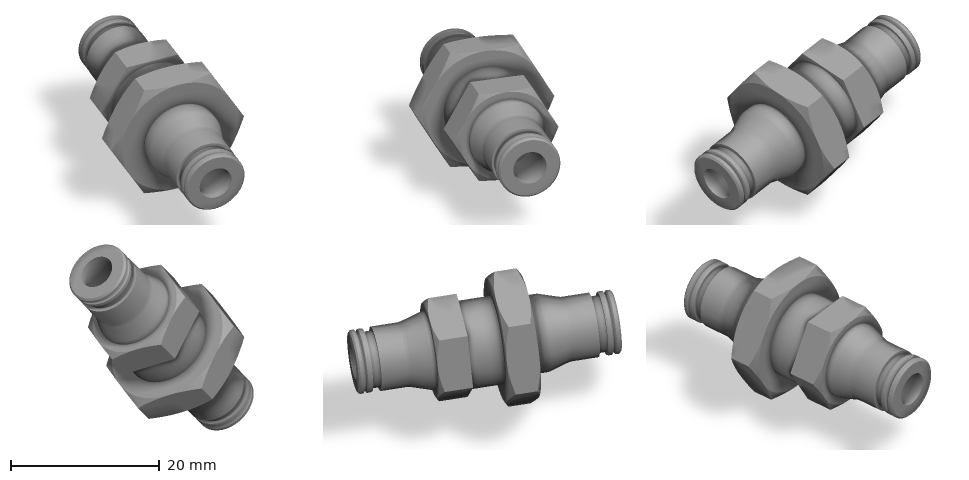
import cadquery as cq
import math


TOTAL_LENGTH = 36.07
LEFT_END = -TOTAL_LENGTH / 2
HEX_START = LEFT_END + 10.5
HEX_WIDTH = 4.47
TUBE_END_LENGTH = 11.98
NUT_WIDTH = HEX_WIDTH

HEX_END = HEX_START + HEX_WIDTH
NUT_END = -LEFT_END - TUBE_END_LENGTH
NUT_START = NUT_END - NUT_WIDTH

HEX_SIDES = 6
BODY_HEX_FLATS = 13.0
NUT_HEX_FLATS = 17.0
HEX_CHAMFER_ANGLE = 30.0
BARREL_RADIUS = 6.02

STUB_RADIUS = 4.4
BEAD_RADIUS = 4.35
SEAT_RADIUS = 3.85
COLLAR_RADIUS = 5.35
FACE_RADIUS = 4.1
BEAD_GROOVE_RADIUS = 3.95
BEAD_BACK_RADIUS = 4.3
COLLAR_FOOT_RADIUS = 5.2

FRONT_BEAD_START = 0.25
FRONT_BEAD_END = 0.7
BEAD_GROOVE_BOTTOM = 1.0
REAR_BEAD_START = 1.23
REAR_BEAD_END = 1.65
SEAT_START = 1.9
SEAT_END = 3.05
TAPER_START = 6.95
TAPER_END = 10.03
COLLAR_END = 11.58
TAPER_BLEND_RADIUS = 1.45
PICK_MARGIN = 0.35

BORE_RADIUS = 1.88
COUNTERBORE_RADIUS = 2.35
COUNTERBORE_DEPTH = TAPER_START


def x_cylinder(radius, start, end):
    """Cylinder on the X axis between two stations."""
    return cq.Workplane("YZ", origin=(start, 0, 0)).circle(radius).extrude(end - start)


def chamfer_cone(flats, start, end):
    """Cone whose circle at the start face touches the hexagon flats, widening towards the end."""
    face_radius = flats / 2
    width = end - start
    back_radius = face_radius + abs(width) / math.tan(math.radians(HEX_CHAMFER_ANGLE))
    profile = [(start, 0), (start, face_radius), (end, back_radius), (end, 0)]
    return cq.Workplane("XY").polyline(profile).close().revolve(360, (0, 0, 0), (1, 0, 0))


def hexagon(flats, start, end):
    """Hexagonal prism along X with its corners on the Y axis."""
    corner_diameter = flats / math.cos(math.pi / HEX_SIDES)
    return cq.Workplane("YZ", origin=(start, 0, 0)).polygon(HEX_SIDES, corner_diameter).extrude(end - start)


def left_tube_end():
    """Solid tube end: two beads, seal seat, stub, blended taper and collar."""
    stations = [
        (0, 0),
        (0, FACE_RADIUS),
        (FRONT_BEAD_START, BEAD_RADIUS),
        (FRONT_BEAD_END, BEAD_RADIUS),
        (BEAD_GROOVE_BOTTOM, BEAD_GROOVE_RADIUS),
        (REAR_BEAD_START, BEAD_RADIUS),
        (REAR_BEAD_END, BEAD_RADIUS),
        (SEAT_START, BEAD_BACK_RADIUS),
        (SEAT_START, SEAT_RADIUS),
        (SEAT_END, SEAT_RADIUS),
        (SEAT_END, STUB_RADIUS),
        (TAPER_START, STUB_RADIUS),
        (TAPER_END, COLLAR_RADIUS),
        (COLLAR_END, COLLAR_RADIUS),
        (TUBE_END_LENGTH, COLLAR_FOOT_RADIUS),
        (TUBE_END_LENGTH, 0),
    ]
    profile = [(LEFT_END + depth, radius) for depth, radius in stations]
    tube_end = cq.Workplane("XY").polyline(profile).close().revolve(360, (0, 0, 0), (1, 0, 0))

    taper_edges = cq.selectors.BoxSelector(
        (LEFT_END + TAPER_START - PICK_MARGIN, -COLLAR_RADIUS, -COLLAR_RADIUS),
        (LEFT_END + TAPER_END + PICK_MARGIN, COLLAR_RADIUS, COLLAR_RADIUS),
    )
    return tube_end.edges("%CIRCLE").edges(taper_edges).fillet(TAPER_BLEND_RADIUS)


def make_connector():
    """Hexagon, barrel and both tube ends with the stepped bore."""
    left_end = left_tube_end()
    right_end = left_end.mirror("YZ")

    body_hex = hexagon(BODY_HEX_FLATS, HEX_START, HEX_END)
    body_hex = body_hex.intersect(chamfer_cone(BODY_HEX_FLATS, HEX_START, HEX_END))
    barrel = x_cylinder(BARREL_RADIUS, HEX_END, NUT_END)
    connector = body_hex.union(barrel).union(left_end).union(right_end)

    left_counterbore = x_cylinder(COUNTERBORE_RADIUS, LEFT_END, LEFT_END + COUNTERBORE_DEPTH)
    bore = x_cylinder(BORE_RADIUS, LEFT_END, -LEFT_END)
    return connector.cut(bore).cut(left_counterbore).cut(left_counterbore.mirror("YZ"))


def make_nut():
    """Bulkhead nut on the barrel, chamfered on both sides."""
    nut = hexagon(NUT_HEX_FLATS, NUT_START, NUT_END)
    nut = nut.intersect(chamfer_cone(NUT_HEX_FLATS, NUT_START, NUT_END))
    nut = nut.intersect(chamfer_cone(NUT_HEX_FLATS, NUT_END, NUT_START))
    return nut.cut(x_cylinder(BARREL_RADIUS, NUT_START, NUT_END))


connector = make_connector()
nut = make_nut()

result = cq.Compound.makeCompound([connector.solids().val(), nut.solids().val()])